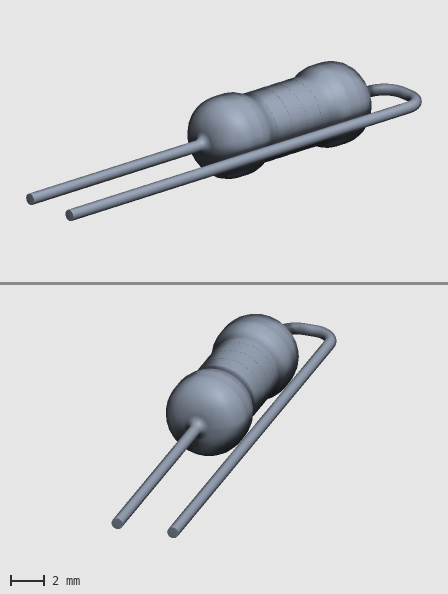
import cadquery as cq
import math


lead_diameter = 0.7
lead_radius = lead_diameter / 2
lead_pitch = 3.5
bend_radius = 2 * lead_diameter
bend_start_y = 7.0
overall_length = 28.35
lead_end_y = bend_start_y + bend_radius + lead_radius - overall_length

cap_radius = 5.0 / 2
waist_radius = 4.25 / 2
body_half_length = 6.0
dome_radius = 1.75
neck_radius = 1.5
lead_fillet = 0.5

band_radius = 4.27 / 2
band_count = 4
waist_half_length = 2.0
band_width = 2 * waist_half_length / (2 * band_count - 1)

neck_angle = math.acos(1 - (cap_radius - waist_radius) / (2 * neck_radius))
neck_arc_length = neck_radius * math.sin(neck_angle)
neck_middle = ((cap_radius + waist_radius) / 2, waist_half_length + neck_arc_length)
cap_start_y = waist_half_length + 2 * neck_arc_length

dome_center = (cap_radius - dome_radius, body_half_length - dome_radius)
fillet_center_x = lead_radius + lead_fillet
center_distance = dome_radius + lead_fillet
blend_angle = math.acos((fillet_center_x - dome_center[0]) / center_distance)
fillet_center = (fillet_center_x, dome_center[1] + center_distance * math.sin(blend_angle))
fillet_end_y = fillet_center[1]


def point_on_arc(center, radius, angle):
    """Point at an angle, in radians from +X, on a circle in the profile plane."""
    return (center[0] + radius * math.cos(angle), center[1] + radius * math.sin(angle))


def cylinder_along_y(start_y, radius, length):
    """Solid cylinder on the body axis that starts at start_y and runs toward +Y."""
    start = cq.Vector(0, start_y, 0)
    return cq.Workplane(cq.Solid.makeCylinder(radius, length, start, cq.Vector(0, 1, 0)))


def make_waist():
    """Straight cylinder between the two ends of the body."""
    return cylinder_along_y(-waist_half_length, waist_radius, 2 * waist_half_length)


def make_body_end():
    """End of the body on the +Y side: neck, cap, dome and lead fillet."""
    waist_arc_center = (waist_radius + neck_radius, waist_half_length)
    cap_arc_center = (cap_radius - neck_radius, cap_start_y)
    dome_end = point_on_arc(dome_center, dome_radius, blend_angle)
    fillet_middle_angle = math.pi + blend_angle / 2
    profile = (
        cq.Workplane("XY")
        .moveTo(0, waist_half_length)
        .lineTo(waist_radius, waist_half_length)
        .threePointArc(point_on_arc(waist_arc_center, neck_radius, math.pi - neck_angle / 2), neck_middle)
        .threePointArc(point_on_arc(cap_arc_center, neck_radius, -neck_angle / 2), (cap_radius, cap_start_y))
        .lineTo(cap_radius, dome_center[1])
        .threePointArc(point_on_arc(dome_center, dome_radius, blend_angle / 2), dome_end)
        .threePointArc(
            point_on_arc(fillet_center, lead_fillet, fillet_middle_angle),
            (lead_radius, fillet_end_y),
        )
        .lineTo(0, fillet_end_y)
        .close()
    )
    return profile.revolve(360, (0, 0), (0, 1))


def make_band(start_y):
    """Colour band standing slightly proud of the waist."""
    return cylinder_along_y(start_y, band_radius, band_width)


def make_straight_lead():
    """Lead leaving the -Y end of the body."""
    return cylinder_along_y(lead_end_y, lead_radius, -fillet_end_y - lead_end_y)


def make_bent_lead():
    """Lead leaving the +Y end of the body, turned back to run beside it."""
    diagonal = bend_radius * math.cos(math.pi / 4)
    top_y = bend_start_y + bend_radius
    path = (
        cq.Workplane("XY")
        .moveTo(0, fillet_end_y)
        .lineTo(0, bend_start_y)
        .threePointArc((bend_radius - diagonal, bend_start_y + diagonal), (bend_radius, top_y))
        .lineTo(lead_pitch - bend_radius, top_y)
        .threePointArc(
            (lead_pitch - bend_radius + diagonal, bend_start_y + diagonal),
            (lead_pitch, bend_start_y),
        )
        .lineTo(lead_pitch, lead_end_y)
    )
    section_plane = cq.Plane(origin=(0, fillet_end_y, 0), xDir=(1, 0, 0), normal=(0, 1, 0))
    return cq.Workplane(section_plane).circle(lead_radius).sweep(path)


body_end = make_body_end()
result = make_waist().union(body_end).union(body_end.mirror("XZ"))
for band_index in range(band_count):
    result = result.union(make_band(-waist_half_length + 2 * band_index * band_width))
result = result.union(make_straight_lead()).union(make_bent_lead())